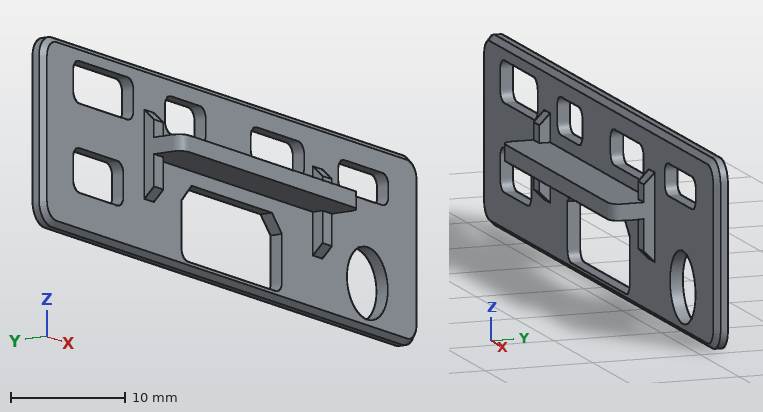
import cadquery as cq

plate_length = 60.0
plate_height = 17.0
plate_thickness = 1.2
plate_corner_radius = 2.0
plate_edge_chamfer = 0.5
front_y = -plate_thickness

upper_row_bottom_z = 3.2
left_column_x = -25.3
slot_corner_radius = 1.0
slots = [
    (left_column_x, upper_row_bottom_z, 9.6, 3.8),
    (-10.65, upper_row_bottom_z, 6.5, 3.4),
    (3.05, upper_row_bottom_z, 8.5, 3.2),
    (17.0, upper_row_bottom_z, 8.0, 2.9),
    (left_column_x, -4.8, 8.0, 4.0),
]

window_length = 16.0
window_height = 6.9
window_top_z = -0.8
window_chamfer = 1.6
window_corner_radius = 1.0

hole_diameter = 6.5
hole_x = 21.65
hole_z = -4.25

shelf_length = 28.4
shelf_depth = 4.0
shelf_thickness = 1.5
shelf_corner_radius = 1.0
shelf_center_x = 0.25
shelf_center_z = 1.25

foot_width = 1.5
foot_height = 8.0
foot_depth = 1.0
foot_chamfer = 1.0
foot_center_z = 0.6


def front_block(length, depth, height, center_x, center_z, back_y):
    """Box centred in X and Z that reaches from back_y towards -Y."""
    block = cq.Workplane("XY").box(length, depth, height)
    return block.translate((center_x, back_y - depth / 2, center_z))


def make_plate():
    plate = front_block(plate_length, plate_thickness, plate_height, 0, 0, 0)
    plate = plate.edges("|Y").fillet(plate_corner_radius)
    return plate.faces("<Y").chamfer(plate_edge_chamfer)


def slot_cutter(left_x, bottom_z, length, height):
    center_x = left_x + length / 2
    center_z = bottom_z + height / 2
    cutter = front_block(length, plate_thickness, height, center_x, center_z, 0)
    return cutter.edges("|Y").fillet(slot_corner_radius)


def window_cutter():
    center_z = window_top_z - window_height / 2
    cutter = front_block(window_length, plate_thickness, window_height, 0, center_z, 0)
    cutter = cutter.faces(">Z").edges("|Y").chamfer(window_chamfer)
    return cutter.faces("<Z").edges("|Y").fillet(window_corner_radius)


def hole_cutter():
    circle = cq.Workplane("XZ").center(hole_x, hole_z).circle(hole_diameter / 2)
    return circle.extrude(plate_thickness)


def make_shelf():
    shelf = front_block(
        shelf_length, shelf_depth, shelf_thickness, shelf_center_x, shelf_center_z, front_y
    )
    return shelf.faces("<Y").edges("|Z").fillet(shelf_corner_radius)


def make_foot(side):
    """Foot flush with one end of the shelf; side is -1 for the left end, 1 for the right."""
    center_x = shelf_center_x + side * (shelf_length - foot_width) / 2
    half_height = foot_height / 2
    half_tip = half_height - foot_chamfer
    profile = [
        (front_y, -half_height),
        (front_y, half_height),
        (front_y - foot_depth, half_tip),
        (front_y - foot_depth, -half_tip),
    ]
    foot = cq.Workplane("YZ").polyline(profile).close().extrude(foot_width / 2, both=True)
    return foot.translate((center_x, 0, foot_center_z))


result = make_plate()
for slot in slots:
    result = result.cut(slot_cutter(*slot))
result = result.cut(window_cutter())
result = result.cut(hole_cutter())
result = result.union(make_shelf())
for side in (-1, 1):
    result = result.union(make_foot(side))